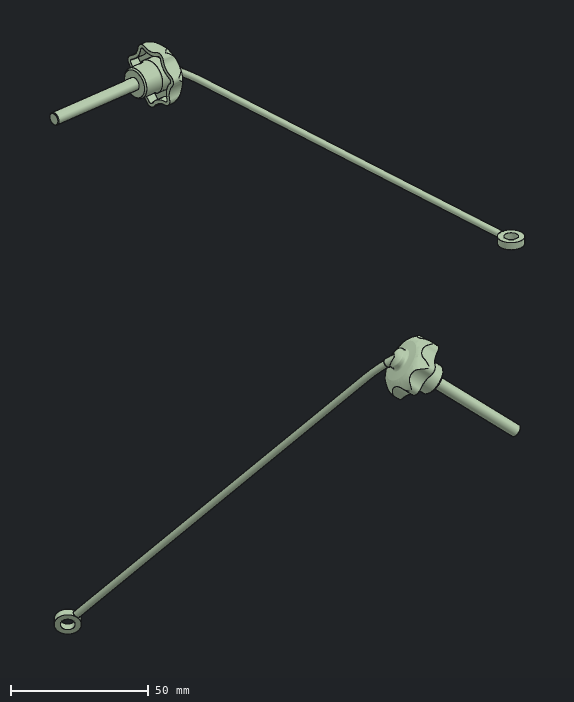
import cadquery as cq
import math


LOBE_COUNT = 7
LOBE_PITCH = 360 / LOBE_COUNT
FIRST_LOBE_ANGLE = -90
LOBE_CENTER_RADIUS = 10
LOBE_RADIUS = 2.5
SCALLOP_RADIUS = 6.5
KNOB_RADIUS = LOBE_CENTER_RADIUS + LOBE_RADIUS
KNOB_HEIGHT = 7.8
CROWN_RADIUS = 60
KNOB_EDGE_RADIUS = 5

RIM_WALL = 1.5
RECESS_DEPTH = 4
COLLAR_DIAMETER = 13

HUB_DIAMETER = 12
HUB_LENGTH = 8
HUB_ROOT_RADIUS = (COLLAR_DIAMETER - HUB_DIAMETER) / 2
HUB_END_CHAMFER = 0.6
STUD_DIAMETER = 5
STUD_LENGTH = 40
STUD_CHAMFER = 0.3

BUTTON_RADIUS = 8 / 2
BUTTON_EDGE_HEIGHT = 9.9
BUTTON_EDGE_RADIUS = 0.4
BUTTON_TOP_HEIGHT = 11.2
BUTTON_ROOT_RADIUS = 0.7

ARM_DIAMETER = 3
ARM_HEIGHT = 11.39
BEND_END_X = 15
BEND_RADIUS = 65
SLEEVE_DIAMETER = 3.5
SLEEVE_END_X = 4.6
EYE_THICKNESS = 3.02
EYE_DIAMETER = 10
EYE_HOLE_DIAMETER = 5.3
EYE_CENTER_X = 180.98


def polar(radius, angle):
    """Point in the knob's face plane (X, Z); angle in degrees."""
    return radius * math.cos(math.radians(angle)), radius * math.sin(math.radians(angle))


def y_cylinder(diameter, y_start, y_end):
    """Cylinder on the knob axis between two heights."""
    return cq.Workplane("XZ", origin=(0, y_start, 0)).circle(diameter / 2).extrude(y_start - y_end)


def star_prism(inset, height):
    """Seven-lobed prism standing on Y = 0, its outline moved inward by `inset`."""
    half_pitch = LOBE_PITCH / 2
    lobe_radius = LOBE_RADIUS - inset
    scallop_radius = SCALLOP_RADIUS + inset
    center_distance = LOBE_RADIUS + SCALLOP_RADIUS
    half_lobe_gap = LOBE_CENTER_RADIUS * math.sin(math.radians(half_pitch))
    lobe_mid_radius = LOBE_CENTER_RADIUS * math.cos(math.radians(half_pitch))
    scallop_center_radius = lobe_mid_radius + math.sqrt(center_distance**2 - half_lobe_gap**2)
    tangent_share = lobe_radius / center_distance

    def tangent_point(lobe_angle, scallop_angle):
        lobe = polar(LOBE_CENTER_RADIUS, lobe_angle)
        scallop = polar(scallop_center_radius, scallop_angle)
        return tuple(a + (b - a) * tangent_share for a, b in zip(lobe, scallop))

    outline = cq.Workplane("XZ").moveTo(*tangent_point(FIRST_LOBE_ANGLE, FIRST_LOBE_ANGLE - half_pitch))
    for i in range(LOBE_COUNT):
        lobe = FIRST_LOBE_ANGLE + i * LOBE_PITCH
        scallop = lobe + half_pitch
        tip = polar(LOBE_CENTER_RADIUS + lobe_radius, lobe)
        valley = polar(scallop_center_radius - scallop_radius, scallop)
        outline = outline.threePointArc(tip, tangent_point(lobe, scallop))
        outline = outline.threePointArc(valley, tangent_point(lobe + LOBE_PITCH, scallop))
    return outline.close().extrude(-height)


def knob():
    """Domed star knob, hollow underneath around the hub collar."""
    crown_drop = CROWN_RADIUS - math.sqrt(CROWN_RADIUS**2 - KNOB_RADIUS**2)
    dome = (
        cq.Workplane("XY")
        .lineTo(KNOB_RADIUS, 0)
        .lineTo(KNOB_RADIUS, KNOB_HEIGHT - crown_drop)
        .radiusArc((0, KNOB_HEIGHT), -CROWN_RADIUS)
        .close()
        .revolve(360, (0, 0), (0, 1))
    )
    dome = dome.faces("%CYLINDER").edges(">Y").fillet(KNOB_EDGE_RADIUS)
    recess = star_prism(RIM_WALL, RECESS_DEPTH).cut(y_cylinder(COLLAR_DIAMETER, 0, RECESS_DEPTH))
    return star_prism(0, KNOB_HEIGHT).intersect(dome).cut(recess)


def hub_and_stud():
    """Collar, hub and stud, all on the knob axis."""
    hub_radius = HUB_DIAMETER / 2
    collar_radius = COLLAR_DIAMETER / 2
    root_inset = HUB_ROOT_RADIUS * (1 - math.sqrt(0.5))
    hub = (
        cq.Workplane("XY")
        .moveTo(0, RECESS_DEPTH)
        .lineTo(collar_radius, RECESS_DEPTH)
        .lineTo(collar_radius, 0)
        .threePointArc((hub_radius + root_inset, -root_inset), (hub_radius, -HUB_ROOT_RADIUS))
        .lineTo(hub_radius, -HUB_LENGTH)
        .lineTo(0, -HUB_LENGTH)
        .close()
        .revolve(360, (0, 0), (0, 1))
        .faces("<Y")
        .edges()
        .chamfer(HUB_END_CHAMFER)
    )
    stud = y_cylinder(STUD_DIAMETER, -HUB_LENGTH - STUD_LENGTH, 0)
    stud = stud.faces("<Y").edges().chamfer(STUD_CHAMFER)
    return hub.union(stud)


def button():
    """Cylinder with a domed top and a rounded edge."""
    sphere_rise = BUTTON_TOP_HEIGHT - BUTTON_EDGE_HEIGHT
    sphere_radius = (BUTTON_RADIUS**2 + sphere_rise**2) / (2 * sphere_rise)
    blank = (
        cq.Workplane("XY")
        .lineTo(BUTTON_RADIUS, 0)
        .lineTo(BUTTON_RADIUS, BUTTON_EDGE_HEIGHT)
        .radiusArc((0, BUTTON_TOP_HEIGHT), -sphere_radius)
        .close()
        .revolve(360, (0, 0), (0, 1))
    )
    return blank.faces("%CYLINDER").edges(">Y").fillet(BUTTON_EDGE_RADIUS)


def knob_with_button():
    """Knob and button joined, with a fillet where the button rises from the crown."""
    seam_height = KNOB_HEIGHT - CROWN_RADIUS + math.sqrt(CROWN_RADIUS**2 - BUTTON_RADIUS**2)
    tolerance = 0.1
    seam = cq.selectors.BoxSelector(
        (-tolerance, seam_height - tolerance, -tolerance),
        (tolerance, seam_height + tolerance, tolerance),
    )
    return knob().union(button()).edges(seam).fillet(BUTTON_ROOT_RADIUS)


def bent_rod(diameter, end_x):
    """Round rod that follows the bend of the arm from the knob axis out to `end_x`."""
    full_angle = math.degrees(math.asin(BEND_END_X / BEND_RADIUS))
    end_angle = math.degrees(math.asin((BEND_END_X - end_x) / BEND_RADIUS))
    center_y = ARM_HEIGHT - BEND_RADIUS
    return (
        cq.Workplane("YZ", origin=(BEND_END_X, ARM_HEIGHT, 0))
        .circle(diameter / 2)
        .revolve(full_angle - end_angle, (-BEND_RADIUS, 0), (-BEND_RADIUS, 1))
        .rotate((BEND_END_X, center_y, 0), (BEND_END_X, center_y, 1), end_angle)
    )


def arm():
    """Arm with its bend, the sleeve at the button and the eye at the far end."""
    straight_end_x = EYE_CENTER_X - (EYE_DIAMETER + EYE_HOLE_DIAMETER) / 4
    straight = (
        cq.Workplane("YZ", origin=(BEND_END_X, ARM_HEIGHT, 0))
        .circle(ARM_DIAMETER / 2)
        .extrude(straight_end_x - BEND_END_X)
    )
    bend = bent_rod(ARM_DIAMETER, BEND_END_X)
    sleeve = bent_rod(SLEEVE_DIAMETER, SLEEVE_END_X)
    eye = (
        cq.Workplane("XY", origin=(EYE_CENTER_X, ARM_HEIGHT, -EYE_THICKNESS / 2))
        .circle(EYE_DIAMETER / 2)
        .circle(EYE_HOLE_DIAMETER / 2)
        .extrude(EYE_THICKNESS)
    )
    return straight.union(bend).union(sleeve).union(eye)


result = knob_with_button().union(hub_and_stud()).union(arm())